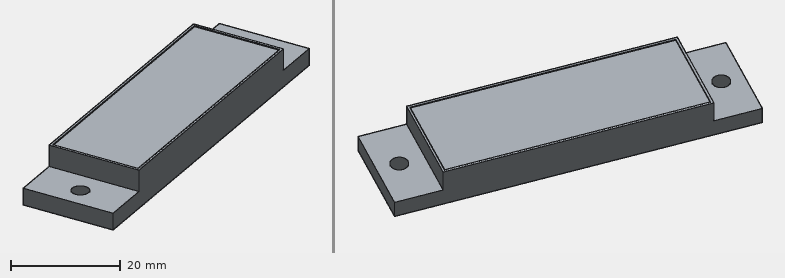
import cadquery as cq

length = 72.0
width = 19.0
height = 8.0

flange_thickness = 3.5
body_length = 53.0
hole_diameter = 3.45
hole_spacing = 63.0

rim_width = 0.5
recess_depth = 0.2


def make_base():
    """Full-length plate whose ends form the mounting flanges."""
    return cq.Workplane("XY").box(width, length, flange_thickness, centered=(True, True, False))


def make_body():
    """Raised central block, as wide as the base plate."""
    return cq.Workplane("XY").box(width, body_length, height, centered=(True, True, False))


def make_recess():
    """Rectangular pocket to be cut into the top of the body."""
    return (
        cq.Workplane("XY")
        .workplane(offset=height - recess_depth)
        .rect(width - 2 * rim_width, body_length - 2 * rim_width)
        .extrude(recess_depth)
    )


def make_mounting_holes():
    """One through hole in the middle of each flange's width."""
    return (
        cq.Workplane("XY")
        .pushPoints([(0, -hole_spacing / 2), (0, hole_spacing / 2)])
        .circle(hole_diameter / 2)
        .extrude(flange_thickness)
    )


result = make_base().union(make_body()).cut(make_recess()).cut(make_mounting_holes())